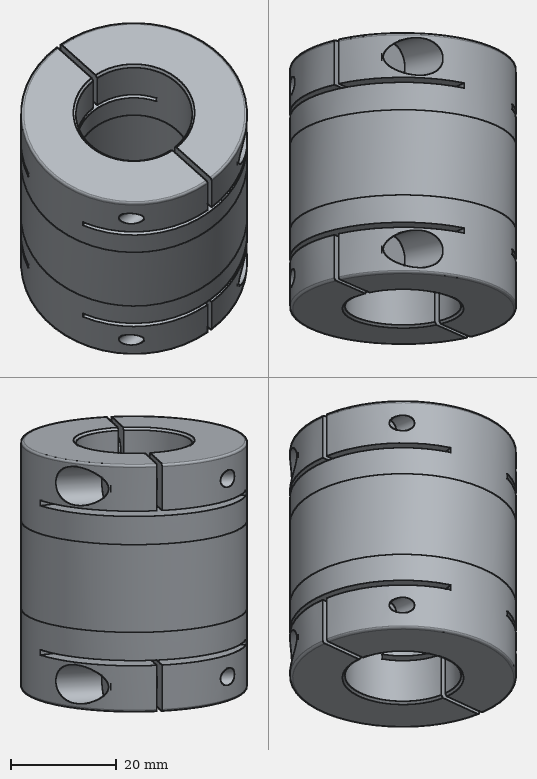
import cadquery as cq
import math

length = 48.0
outer_diameter = 42.8
bore_diameter = 22.0
hub_length = 15.5
edge_break = 0.5

slot_depth = 9.0
slot_width = 1.0
bridge_outer_width = 15.45
bridge_bore_width = 9.4

screw_offset = 15.5
screw_depth = 4.8
screw_diameter = 4.0
tap_diameter = 3.25
screw_tip_y = -11.5
head_diameter = 7.5
head_height = 4.0
head_seat_y = 5.0

outer_radius = outer_diameter / 2
bore_radius = bore_diameter / 2
half_length = length / 2
sleeve_length = length - 2 * hub_length
screw_z = half_length - screw_depth
slot_top_z = half_length - slot_depth
sides = (-1, 1)


def make_ring(bottom_z, height):
    return (
        cq.Workplane("XY", origin=(0, 0, bottom_z))
        .circle(outer_radius)
        .circle(bore_radius)
        .extrude(height)
    )


def make_rod(diameter, side, start_y, end_y):
    """Cylinder along Y on a screw axis of the upper hub."""
    return (
        cq.Workplane("XZ", origin=(side * screw_offset, start_y, screw_z))
        .circle(diameter / 2)
        .extrude(start_y - end_y)
    )


def make_screw(side):
    head = make_rod(head_diameter, side, head_seat_y + head_height, head_seat_y)
    shank = make_rod(screw_diameter, side, head_seat_y, screw_tip_y)
    return head.union(shank)


def break_end_edges(hub):
    """Chamfer the bore and round the rim at the free end of the hub."""
    bore_edge = cq.selectors.RadiusNthSelector(0)
    rim_edge = cq.selectors.RadiusNthSelector(-1)
    hub = hub.faces(">Z").edges(bore_edge).chamfer(edge_break)
    return hub.faces(">Z").edges(rim_edge).fillet(edge_break)


def cut_screw_holes(hub):
    for side in sides:
        hub = hub.cut(make_rod(head_diameter, side, outer_radius, head_seat_y))
        hub = hub.cut(make_rod(screw_diameter, side, head_seat_y, screw_tip_y))
        hub = hub.cut(make_rod(tap_diameter, side, screw_tip_y, -outer_radius))
    return hub


def cut_flexure_slots(hub):
    """Cut a slot on each X side, leaving a tapered bridge at +Y and at -Y."""
    outer_x = bridge_outer_width / 2
    bore_x = bridge_bore_width / 2
    outer_y = math.sqrt(outer_radius**2 - outer_x**2)
    bore_y = math.sqrt(bore_radius**2 - bore_x**2)
    taper = (outer_x - bore_x) / (outer_y - bore_y)
    root_x = bore_x - taper * bore_y
    tip_x = root_x + taper * outer_radius
    for side in sides:
        slot = (
            cq.Workplane("XY", origin=(0, 0, slot_top_z))
            .moveTo(side * root_x, 0)
            .lineTo(side * tip_x, outer_radius)
            .lineTo(side * outer_radius, outer_radius)
            .lineTo(side * outer_radius, -outer_radius)
            .lineTo(side * tip_x, -outer_radius)
            .close()
            .extrude(-slot_width)
        )
        hub = hub.cut(slot)
    return hub


def cut_clamp_split(hub):
    """Cut the gap along X that runs from the end face down to the slots."""
    split = (
        cq.Workplane("XY", origin=(0, 0, slot_top_z))
        .rect(outer_diameter, slot_width)
        .extrude(slot_depth)
    )
    return hub.cut(split)


def make_hub():
    hub = make_ring(half_length - hub_length, hub_length)
    hub = break_end_edges(hub)
    hub = cut_screw_holes(hub)
    hub = cut_flexure_slots(hub)
    return cut_clamp_split(hub)


def mirror_down(body):
    return body.mirror("XY")


sleeve = make_ring(-sleeve_length / 2, sleeve_length)
upper_hub = make_hub()
lower_hub = mirror_down(upper_hub)

screws = []
for side in sides:
    upper_screw = make_screw(side)
    screws.append(upper_screw.val())
    screws.append(mirror_down(upper_screw).val())

result = cq.Compound.makeCompound([sleeve.val(), upper_hub.val(), lower_hub.val(), *screws])